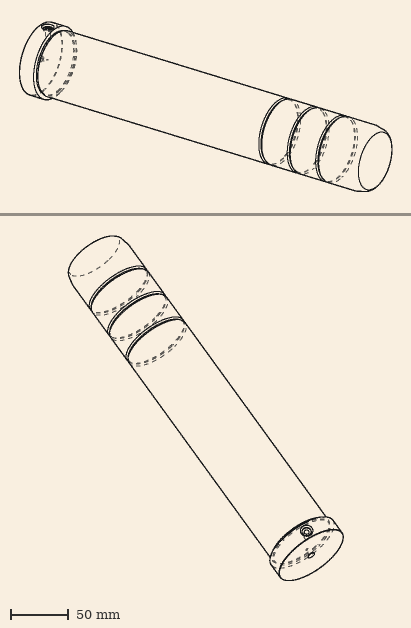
import cadquery as cq
import math

length = 350.0
head_diameter = 66.0
head_length = 15.0
head_chamfer = 0.5
shaft_diameter = 60.0
shaft_radius = shaft_diameter / 2

relief_width = 2.5
relief_depth = 1.0

groove_count = 3
first_groove_start = 248.5
groove_pitch = 29.8
groove_width = 3.0
groove_depth = 1.0

lead_length = 10.5
tip_length = 3.0
tip_start_radius = 28.5
tip_end_radius = 26.0

rim_hole_x = head_length / 2
rim_mouth_diameter = 11.0
rim_hole_diameter = 8.0
rim_hole_depth = 2.5
rim_pilot_diameter = 4.2
rim_pilot_depth = 12.0

centre_mouth_diameter = 6.5
centre_hole_diameter = 2.5
centre_hole_depth = 7.0


def make_pin():
    """Revolve the headed pin about the X axis, grooves included."""
    floor_radius = shaft_radius - relief_depth
    relief_end = head_length + relief_width
    profile = (
        cq.Workplane("XY")
        .lineTo(0, head_diameter / 2 - head_chamfer)
        .lineTo(head_chamfer, head_diameter / 2)
        .lineTo(head_length, head_diameter / 2)
        .lineTo(head_length, floor_radius)
        .lineTo(relief_end - relief_depth, floor_radius)
        .lineTo(relief_end, shaft_radius)
    )
    for index in range(groove_count):
        start = first_groove_start + index * groove_pitch
        profile = (
            profile.lineTo(start, shaft_radius)
            .lineTo(start + groove_width / 2, shaft_radius - groove_depth)
            .lineTo(start + groove_width, shaft_radius)
        )
    profile = (
        profile.lineTo(length - lead_length, shaft_radius)
        .lineTo(length - tip_length, tip_start_radius)
        .tangentArcPoint((length, tip_end_radius), relative=False)
        .lineTo(length, 0)
        .close()
    )
    return profile.revolve(360, (0, 0, 0), (1, 0, 0))


def make_countersunk_hole(mouth_diameter, hole_diameter, depth):
    """Blind hole along +X from the origin, with a 90 degree countersink."""
    mouth_radius = mouth_diameter / 2
    hole_radius = hole_diameter / 2
    profile = (
        cq.Workplane("XY")
        .lineTo(0, mouth_radius)
        .lineTo(mouth_radius - hole_radius, hole_radius)
        .lineTo(depth, hole_radius)
        .lineTo(depth, 0)
        .close()
    )
    return profile.revolve(360, (0, 0, 0), (1, 0, 0))


centre_hole = make_countersunk_hole(
    centre_mouth_diameter, centre_hole_diameter, centre_hole_depth
)

rim_mouth_z = math.sqrt((head_diameter / 2) ** 2 - (rim_mouth_diameter / 2) ** 2)
rim_hole = (
    make_countersunk_hole(rim_mouth_diameter, rim_hole_diameter, rim_hole_depth)
    .rotate((0, 0, 0), (0, 1, 0), 90)
    .translate((rim_hole_x, 0, rim_mouth_z))
)
rim_crown = (
    cq.Workplane("XY", origin=(rim_hole_x, 0, rim_mouth_z))
    .circle(rim_mouth_diameter / 2)
    .extrude(head_diameter / 2 - rim_mouth_z)
)
rim_pilot = (
    cq.Workplane("XY", origin=(rim_hole_x, 0, rim_mouth_z))
    .circle(rim_pilot_diameter / 2)
    .extrude(-rim_pilot_depth)
)

pin = make_pin().cut(centre_hole)
result = pin.cut(rim_crown).cut(rim_hole).cut(rim_pilot)